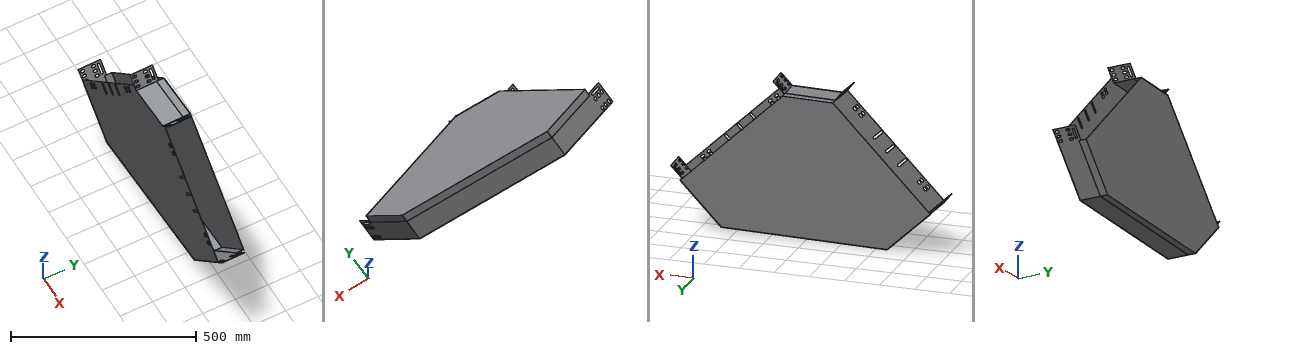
import cadquery as cq
import math


sheet = 1.2
strip_height = 70.0
side_height = 63.5
total_height = 87.0

opening_width = 401.0
inner_side = 142.0
inner_leg = 15.5
outer_leg = 184.0
tab_reach = 30.0
fold_angle = 45

slot_width = 7.0
short_slot = 12.0
tab_slot_pitch = 14.0
tab_slot_rows = (10.0, 44.0)
tab_long_slot = 31.0
tab_long_slot_height = 60.0
base_slot_rows = (10.0, 20.0)
base_slot_columns = (56.5, 80.5)
base_long_slot = 34.0
base_long_slot_depth = 19.0
base_long_slot_pitch = 49.5

turn_x = -0.4
turn_y = -1.5
turn_z = 1.3

out = cq.Vector(-math.cos(math.radians(fold_angle)), 0, math.sin(math.radians(fold_angle)))
across = cq.Vector(-math.sin(math.radians(fold_angle)), 0, -math.cos(math.radians(fold_angle)))

inner_fold = cq.Vector(-inner_side / 2, 0, 0)
inner_end = inner_fold + out * inner_leg
outer_end = inner_end + across * opening_width
outer_fold = outer_end - out * outer_leg


def channel(inset, reach, bottom, top):
    """Prism between the two sides, inset from their outer faces, ending at reach beyond the openings."""
    fold_shift = inset * math.tan(math.radians(fold_angle / 2))
    left = [
        outer_fold + cq.Vector(fold_shift, 0, inset),
        outer_end + out * reach - across * inset,
    ]
    if reach > -inner_leg:
        left.append(inner_end + out * reach + across * inset)
    left.append(inner_fold + cq.Vector(-fold_shift, 0, -inset))
    outline = [(p.x, p.z) for p in left] + [(-p.x, p.z) for p in reversed(left)]
    return cq.Workplane("XZ", origin=(0, bottom, 0)).polyline(outline).close().extrude(bottom - top)


def both_ends(cutter):
    return cutter.union(cutter.mirror("YZ"))


def tab_slots():
    """Slots through both end strips of each opening."""
    plane = cq.Plane(origin=inner_end.toTuple(), xDir=out.toTuple(), normal=across.toTuple())
    middle = (tab_reach - inner_leg) / 2
    short = [(middle + i * tab_slot_pitch, row) for i in (-1, 0, 1) for row in tab_slot_rows]
    face = cq.Workplane(plane).workplane(offset=-sheet)
    length = opening_width + 2 * sheet
    cutter = face.pushPoints(short).slot2D(short_slot, slot_width, 90).extrude(length)
    return both_ends(cutter.union(
        face.center(middle, tab_long_slot_height).slot2D(tab_long_slot, slot_width).extrude(length)
    ))


def base_slots():
    """Slots through the base along each opening."""
    plane = cq.Plane(origin=inner_end.toTuple(), xDir=across.toTuple(), normal=(0, -1, 0))
    middle = opening_width / 2
    columns = [c for d in base_slot_columns for c in (d, opening_width - d)]
    short = [(column, row) for column in columns for row in base_slot_rows]
    long = [(middle + i * base_long_slot_pitch, base_long_slot_depth) for i in (-1, 0, 1)]
    face = cq.Workplane(plane)
    cutter = face.pushPoints(short).slot2D(short_slot, slot_width).extrude(sheet, both=True)
    return both_ends(cutter.union(
        face.pushPoints(long).slot2D(base_long_slot, slot_width, 90).extrude(sheet, both=True)
    ))


def make_tray():
    sides = channel(0, tab_reach, 0, strip_height)
    sides = sides.cut(channel(sheet, tab_reach + sheet, 0, strip_height))
    tray = sides.union(channel(0, 0, 0, sheet))
    tray = tray.cut(channel(0, -inner_leg, side_height, strip_height))
    return tray.cut(tab_slots()).cut(base_slots())


def make_cover():
    cover = channel(0, -inner_leg, side_height, total_height)
    return cover.cut(channel(sheet, 0, side_height, total_height - sheet))


def turned(body):
    for axis, angle in (((1, 0, 0), turn_x), ((0, 1, 0), turn_y), ((0, 0, 1), turn_z)):
        body = body.rotate((0, 0, 0), axis, angle)
    return body


tray = turned(make_tray())
cover = turned(make_cover())

result = cq.Compound.makeCompound([tray.val(), cover.val()])